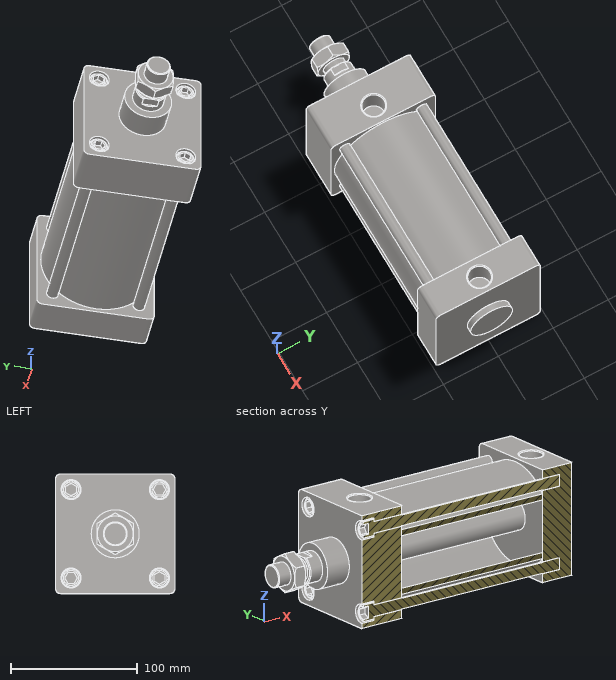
import cadquery as cq
import math

NUT_START = 12.0
NUT_THICKNESS = 11.0
SHOULDER_START = 28.7
FLATS_LENGTH = 7.0
GLAND_START = 41.2
HEAD_START = 63.0
HEAD_LENGTH = 40.3
CAP_START = 243.2
CAP_LENGTH = 29.5
OVERALL_LENGTH = 278.2
HEAD_END = HEAD_START + HEAD_LENGTH
CAP_END = CAP_START + CAP_LENGTH
TUBE_LENGTH = CAP_START - HEAD_END

BLOCK_SIDE = 95.1
BLOCK_CORNER_RADIUS = 4.5
BOSS_DIAMETER = 38.0

PORT_DIAMETER = 19.0
PORT_CHAMFER = 0.8
PORT_DEPTH = 22.3
HEAD_PORT_X = 87.5
CAP_PORT_X = 258.7

TUBE_OUTER_DIAMETER = 89.0
TUBE_BORE = 82.5

ROD_DIAMETER = 25.3
ROD_THREAD_DIAMETER = 19.0
ROD_TIP_CHAMFER = 0.7
SHOULDER_CHAMFER = 0.8
ROD_FLATS_WIDTH = 22.0

NUT_ACROSS_FLATS = 28.7
NUT_FACE_DIAMETER = 28.5
NUT_CHAMFER_ANGLE = 30.0

TIE_ROD_OFFSET = 35.0
TIE_ROD_DIAMETER = 9.5
TIE_ROD_ENGAGEMENT = 16.7
TIE_HEAD_DIAMETER = 14.2
TIE_HEAD_CHAMFER = 1.0
TIE_HEAD_LENGTH = 11.0
TIE_HEAD_RECESS = 1.0
COUNTERBORE_DIAMETER = 15.9
SOCKET_ACROSS_FLATS = 8.5
SOCKET_DEPTH = 5.5
TIE_HEAD_START = HEAD_START + TIE_HEAD_RECESS
TIE_HEAD_END = TIE_HEAD_START + TIE_HEAD_LENGTH
TIE_ROD_END = CAP_START + TIE_ROD_ENGAGEMENT

TIE_RODS = [
    (TIE_ROD_OFFSET, TIE_ROD_OFFSET, 0),
    (-TIE_ROD_OFFSET, TIE_ROD_OFFSET, 90),
    (-TIE_ROD_OFFSET, -TIE_ROD_OFFSET, 180),
    (TIE_ROD_OFFSET, -TIE_ROD_OFFSET, 270),
]


def cylinder(diameter, start, end, y=0, z=0):
    """Cylinder parallel to X between two stations."""
    plane = cq.Workplane("YZ", origin=(start, y, z))
    return plane.circle(diameter / 2).extrude(end - start)


def hexagon_prism(across_flats, start, end):
    """Hexagonal prism on the X axis with two corners pointing along Z."""
    across_corners = across_flats / math.cos(math.radians(30))
    prism = cq.Workplane("YZ").polygon(6, across_corners).extrude(end - start)
    return prism.rotate((0, 0, 0), (1, 0, 0), 90).translate((start, 0, 0))


def end_block(start, end):
    """Square block with its four long edges rounded."""
    block = cq.Workplane("YZ", origin=(start, 0, 0)).rect(BLOCK_SIDE, BLOCK_SIDE).extrude(end - start)
    return block.edges("|X").fillet(BLOCK_CORNER_RADIUS)


def port_cutter(x):
    """Blind bore with a chamfered mouth, sunk from the top face."""
    top = BLOCK_SIDE / 2
    bore_radius = PORT_DIAMETER / 2
    mouth_radius = bore_radius + PORT_CHAMFER
    outline = (
        cq.Workplane("XZ")
        .moveTo(0, top)
        .lineTo(mouth_radius, top)
        .lineTo(bore_radius, top - PORT_CHAMFER)
        .lineTo(bore_radius, top - PORT_DEPTH)
        .lineTo(0, top - PORT_DEPTH)
        .close()
    )
    return outline.revolve(360, (0, 0), (0, 1)).translate((x, 0, 0))


def make_head():
    """Front block with gland boss, rod bore, port and counterbored tie rod holes."""
    head = end_block(HEAD_START, HEAD_END)
    head = head.union(cylinder(BOSS_DIAMETER, GLAND_START, HEAD_START))
    head = head.cut(cylinder(ROD_DIAMETER, GLAND_START, HEAD_END))
    head = head.cut(port_cutter(HEAD_PORT_X))
    for y, z, _ in TIE_RODS:
        head = head.cut(cylinder(COUNTERBORE_DIAMETER, HEAD_START, TIE_HEAD_END, y, z))
        head = head.cut(cylinder(TIE_ROD_DIAMETER, TIE_HEAD_END, HEAD_END, y, z))
    return head


def make_rear_cap():
    """Rear block with locating boss, port and blind tie rod holes."""
    cap = end_block(CAP_START, CAP_END)
    cap = cap.union(cylinder(BOSS_DIAMETER, CAP_END, OVERALL_LENGTH))
    cap = cap.cut(port_cutter(CAP_PORT_X))
    for y, z, _ in TIE_RODS:
        cap = cap.cut(cylinder(TIE_ROD_DIAMETER, CAP_START, TIE_ROD_END, y, z))
    return cap


def make_tube():
    """Round tube clamped between the two blocks."""
    section = cq.Workplane("YZ", origin=(HEAD_END, 0, 0))
    return section.circle(TUBE_OUTER_DIAMETER / 2).circle(TUBE_BORE / 2).extrude(TUBE_LENGTH)


def make_piston_rod():
    """Rod running back to the rear cap, with wrench flats and a reduced thread end."""
    thread = cylinder(ROD_THREAD_DIAMETER, 0, SHOULDER_START).faces("<X").chamfer(ROD_TIP_CHAMFER)
    shank = cylinder(ROD_DIAMETER, SHOULDER_START, CAP_START).faces("<X").chamfer(SHOULDER_CHAMFER)
    flats_centre = (SHOULDER_START + FLATS_LENGTH / 2, 0, 0)
    outside_flats = (
        cq.Workplane("XY", origin=flats_centre)
        .box(FLATS_LENGTH, ROD_DIAMETER, ROD_DIAMETER)
        .cut(cq.Workplane("XY", origin=flats_centre).box(FLATS_LENGTH, ROD_DIAMETER, ROD_FLATS_WIDTH))
    )
    return shank.cut(outside_flats).union(thread)


def make_nut():
    """Hexagon nut whose corners are turned down by a cone at each end."""
    nut_end = NUT_START + NUT_THICKNESS
    middle = NUT_START + NUT_THICKNESS / 2
    face_radius = NUT_FACE_DIAMETER / 2
    slope = math.tan(math.radians(NUT_CHAMFER_ANGLE))
    middle_radius = face_radius + NUT_THICKNESS / 2 / slope
    envelope = (
        cq.Workplane("XY")
        .polyline([(NUT_START, 0), (NUT_START, face_radius), (middle, middle_radius),
                   (nut_end, face_radius), (nut_end, 0)])
        .close()
        .revolve(360, (0, 0), (1, 0))
    )
    nut = hexagon_prism(NUT_ACROSS_FLATS, NUT_START, nut_end).intersect(envelope)
    return nut.cut(cylinder(ROD_THREAD_DIAMETER, NUT_START, nut_end))


def make_tie_rod(y, z, turn):
    """Tie rod with a chamfered round head and a hexagon socket turned about X."""
    head = cylinder(TIE_HEAD_DIAMETER, TIE_HEAD_START, TIE_HEAD_END).faces("<X").chamfer(TIE_HEAD_CHAMFER)
    shank = cylinder(TIE_ROD_DIAMETER, TIE_HEAD_END, TIE_ROD_END)
    socket = hexagon_prism(SOCKET_ACROSS_FLATS, TIE_HEAD_START, TIE_HEAD_START + SOCKET_DEPTH)
    socket = socket.rotate((0, 0, 0), (1, 0, 0), turn)
    return head.union(shank).cut(socket).translate((0, y, z))


head = make_head()
rear_cap = make_rear_cap()
tube = make_tube()
piston_rod = make_piston_rod()
nut = make_nut()
tie_rods = [make_tie_rod(y, z, turn) for y, z, turn in TIE_RODS]

result = cq.Compound.makeCompound([
    head.val(),
    rear_cap.val(),
    tube.val(),
    piston_rod.val(),
    nut.val(),
    *[tie_rod.val() for tie_rod in tie_rods],
])